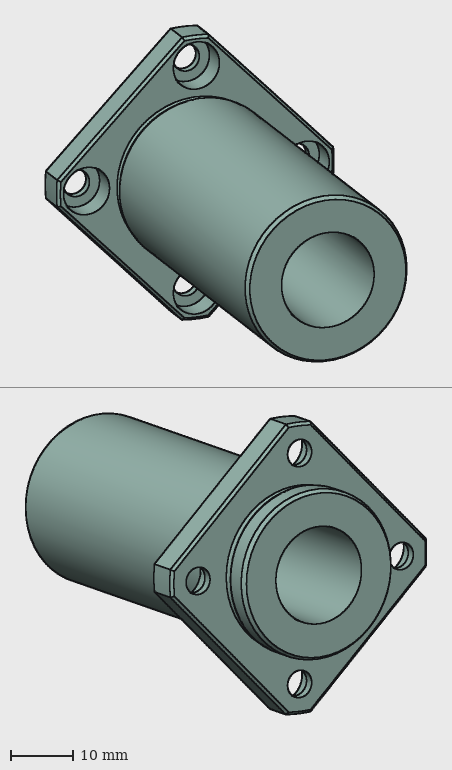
import cadquery as cq
import math

sleeve_length = 70.0
sleeve_diameter = 28.0
bore_diameter = 16.0
end_chamfer_length = 0.85
end_chamfer_depth = 0.5

flange_start = 6.0
flange_thickness = 6.0
flange_side = 37.0
flange_turned_diameter = 48.0
flange_edge_chamfer = 0.5

relief_arc_radius = 1.5
relief_bottom_to_flange = 0.7
relief_bottom_to_edge = 1.05

hole_circle_diameter = 38.0
hole_diameter = 4.5
counterbore_diameter = 8.0
counterbore_depth = 4.4
hole_count = 4

sleeve_radius = sleeve_diameter / 2
flange_end = flange_start + flange_thickness
relief_width = relief_bottom_to_flange + relief_bottom_to_edge
relief_centre_height = sleeve_radius + math.sqrt(relief_arc_radius**2 - relief_bottom_to_edge**2)
seat_radius = relief_centre_height - math.sqrt(relief_arc_radius**2 - relief_bottom_to_flange**2)


def make_sleeve():
    """Turned tube with tapered end edges and an arc groove on each side of the flange."""
    bore_radius = bore_diameter / 2
    end_radius = sleeve_radius - end_chamfer_depth
    relief_start = flange_start - relief_width
    relief_end = flange_end + relief_width
    half_section = (
        cq.Workplane("XY")
        .moveTo(0, bore_radius)
        .lineTo(0, end_radius)
        .lineTo(end_chamfer_length, sleeve_radius)
        .lineTo(relief_start, sleeve_radius)
        .radiusArc((flange_start, seat_radius), -relief_arc_radius)
        .lineTo(flange_end, seat_radius)
        .radiusArc((relief_end, sleeve_radius), -relief_arc_radius)
        .lineTo(sleeve_length - end_chamfer_length, sleeve_radius)
        .lineTo(sleeve_length, end_radius)
        .lineTo(sleeve_length, bore_radius)
        .close()
    )
    return half_section.revolve(360, (0, 0, 0), (1, 0, 0))


def make_flange():
    """Square plate turned 45 degrees, rounded at its corners and open over the bore."""
    face = cq.Workplane("YZ", origin=(flange_start, 0, 0))
    square = face.transformed(rotate=(0, 0, 45)).rect(flange_side, flange_side).extrude(flange_thickness)
    disc = face.circle(flange_turned_diameter / 2).extrude(flange_thickness)
    plate = square.intersect(disc).faces("<X or >X").edges().chamfer(flange_edge_chamfer)
    opening = face.circle(seat_radius).extrude(flange_thickness)
    return plate.cut(opening)


def make_screw_holes():
    """Through holes on the Y and Z axes, counterbored from the +X face of the flange."""
    cutters = cq.Workplane("YZ")
    for index in range(hole_count):
        angle = math.radians(index * 360 / hole_count)
        y = hole_circle_diameter / 2 * math.cos(angle)
        z = hole_circle_diameter / 2 * math.sin(angle)
        face = cq.Workplane("YZ", origin=(flange_end, y, z))
        cutters = cutters.add(face.circle(hole_diameter / 2).extrude(-flange_thickness))
        cutters = cutters.add(face.circle(counterbore_diameter / 2).extrude(-counterbore_depth))
    return cutters.combine()


result = make_sleeve().union(make_flange()).cut(make_screw_holes())